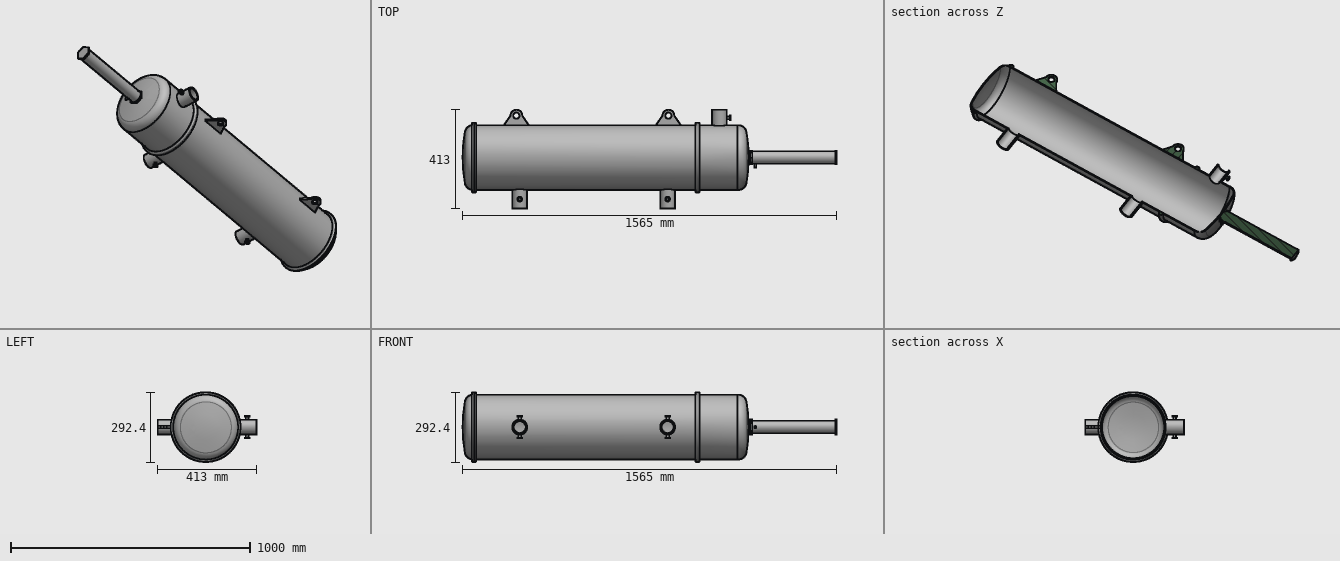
import cadquery as cq
import math

total_length = 1565.0

tank_radius = 136.0
wall = 6.0
tank_length = 1197.0
knuckle_radius = 36.0
crown_radius = 595.0
head_length = 49.0
left_joint_x = head_length
right_joint_x = tank_length - head_length
middle_band_x = 983.0
band_width = 19.0
band_height = 10.2
band_fillet = 6.0

port_radius = 31.0
port_bore_radius = 25.0
front_port_xs = (240.0, 858.0)
front_port_reach = 213.0
front_stud_reach = 174.0
rear_port_x = 1074.0
rear_port_reach = 200.0
rear_stud_reach = 166.0

stud_tip = 47.0
stud_radius = 6.0
stud_head_radius = 10.2
stud_head_thickness = 3.0

lug_xs = (225.0, 861.0)
lug_hole_y = 175.0
lug_hole_radius = 13.0
lug_tip_radius = rear_port_reach - lug_hole_y
lug_base_half_width = 56.0
lug_thickness = 10.0

neck_radius = 19.0
collar_start = 1204.0
collar_thickness = 7.0
collar_sides = 6
collar_across_corners = 64.0
rod_radius = 27.0
rod_pin_x = 1224.0
rod_pin_radius = 5.0
rod_pin_reach = 42.0


def dished_solid(inset):
    """Solid with a torispherical dish at both ends, set in from the tank's outer surface."""
    radius = tank_radius - inset
    knuckle = knuckle_radius - inset
    crown = crown_radius - inset
    knuckle_r = radius - knuckle
    slope = math.asin(knuckle_r / (crown - knuckle))
    depth = crown - (crown - knuckle) * math.cos(slope)

    def dish_points(tip, inward):
        """Points from the tip to the straight side; inward is +1 or -1 along X."""
        def place(x, r):
            return (tip + inward * x, r)

        half = slope / 2
        bend = (slope + math.pi / 2) / 2
        return [
            place(0, 0),
            place(crown * (1 - math.cos(half)), crown * math.sin(half)),
            place(crown * (1 - math.cos(slope)), crown * math.sin(slope)),
            place(depth - knuckle * math.cos(bend), knuckle_r + knuckle * math.sin(bend)),
            place(depth, radius),
        ]

    left = dish_points(inset, 1)
    right = dish_points(tank_length - inset, -1)
    return (
        cq.Workplane("XY")
        .moveTo(*left[0])
        .threePointArc(left[1], left[2])
        .threePointArc(left[3], left[4])
        .lineTo(*right[4])
        .threePointArc(right[3], right[2])
        .threePointArc(right[1], right[0])
        .close()
        .revolve(360, (0, 0, 0), (1, 0, 0))
    )


def cylinder(radius, start, direction, length):
    solid = cq.Solid.makeCylinder(radius, length, cq.Vector(*start), cq.Vector(*direction))
    return cq.Workplane(solid)


def band(x):
    """Band around the tank with rounded outer edges, centred on x."""
    return (
        cylinder(tank_radius + band_height, (x - band_width / 2, 0, 0), (1, 0, 0), band_width)
        .edges()
        .fillet(band_fillet)
    )


def stud(x, y, direction):
    """Headed stud on a port's outer wall, pointing along an (X, Z) direction."""
    dx, dz = direction
    axis = (dx, 0, dz)
    foot = (port_radius + port_bore_radius) / 2
    head_start = stud_tip - stud_head_thickness
    shank = cylinder(stud_radius, (x + dx * foot, y, dz * foot), axis, stud_tip - foot)
    head = cylinder(
        stud_head_radius, (x + dx * head_start, y, dz * head_start), axis, stud_head_thickness
    )
    return shank.union(head)


def tank_section(start, end):
    """Stretch of the hollow, banded tank wall between two X positions."""
    tank = outside.union(band(left_joint_x)).union(band(middle_band_x)).cut(inside)
    size = 4 * tank_radius
    slab = cq.Workplane("XY").box(end - start, size, size).translate(((start + end) / 2, 0, 0))
    return tank.intersect(slab)


def build_shell():
    """Middle section with two ports toward -Y and one toward +Y, all open to the inside."""
    shell = tank_section(left_joint_x, right_joint_x)
    ports = [(x, -1, front_port_reach) for x in front_port_xs]
    ports.append((rear_port_x, 1, rear_port_reach))
    for x, side, reach in ports:
        tube = cylinder(port_radius, (x, 0, 0), (0, side, 0), reach)
        bore = cylinder(port_bore_radius, (x, 0, 0), (0, side, 0), reach)
        shell = shell.union(tube.cut(inside)).cut(bore)
    for x in front_port_xs:
        for side in (1, -1):
            shell = shell.union(stud(x, -front_stud_reach, (0, side)))
    return shell.union(stud(rear_port_x, rear_stud_reach, (1, 0)))


def build_lug(x):
    """Triangular eye plate with a round tip, seated on the curved wall."""
    base_y = tank_radius - wall
    lug = (
        cq.Workplane("XY")
        .moveTo(x - lug_base_half_width, base_y)
        .lineTo(x + lug_base_half_width, base_y)
        .lineTo(x + lug_tip_radius, lug_hole_y)
        .threePointArc((x, lug_hole_y + lug_tip_radius), (x - lug_tip_radius, lug_hole_y))
        .close()
        .extrude(lug_thickness / 2, both=True)
    )
    hole = cylinder(lug_hole_radius, (x, lug_hole_y, -lug_thickness), (0, 0, 1), 2 * lug_thickness)
    return lug.cut(hole).cut(outside)


def collar(start):
    """Hexagonal collar with corners up and down."""
    return (
        cq.Workplane("YZ", origin=(start, 0, 0))
        .polygon(collar_sides, collar_across_corners)
        .extrude(collar_thickness)
        .rotate((0, 0, 0), (1, 0, 0), 180 / collar_sides)
    )


def build_rod():
    """Rod with a neck that meets the right head, a collar at each end and a side pin."""
    neck_start = tank_length - wall
    neck = cylinder(neck_radius, (neck_start, 0, 0), (1, 0, 0), collar_start - neck_start).cut(outside)
    bar = cylinder(rod_radius, (collar_start, 0, 0), (1, 0, 0), total_length - collar_start)
    pin = cylinder(rod_pin_radius, (rod_pin_x, 0, 0), (0, -1, 0), rod_pin_reach)
    return (
        neck.union(bar)
        .union(collar(collar_start))
        .union(collar(total_length - collar_thickness))
        .union(pin)
    )


outside = dished_solid(0)
inside = dished_solid(wall)

left_head = tank_section(0, left_joint_x)
shell = build_shell()
right_head = tank_section(right_joint_x, tank_length)
lugs = [build_lug(x) for x in lug_xs]
rod = build_rod()

bodies = [left_head, shell, right_head, *lugs, rod]
result = cq.Compound.makeCompound([body.solids().val() for body in bodies])